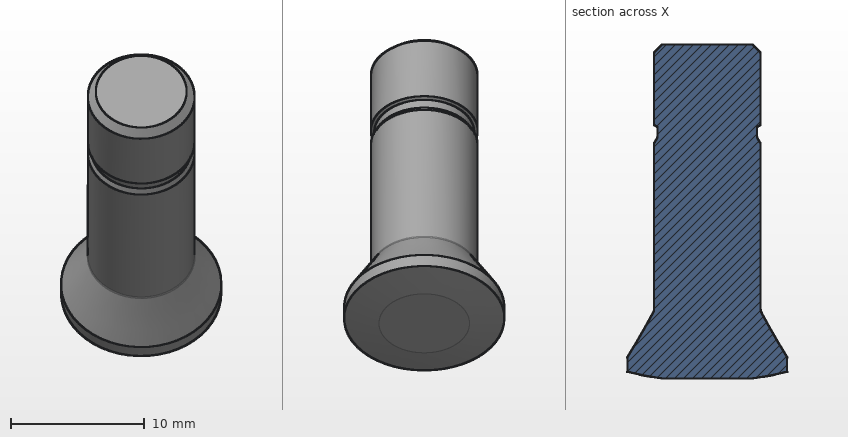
import cadquery as cq
import math

total_length = 25.0
shank_radius = 4.0
end_chamfer = 0.6

head_radius = 6.0
dome_height = 0.5
dome_radius = 25.0
rim_top_z = 1.6
head_half_angle = math.radians(30)
neck_fillet = 0.3

groove_radius = 3.75
tip_to_groove = 6.05
groove_length = 1.35
groove_flank_angle = math.radians(30)

neck_z = rim_top_z + (head_radius - shank_radius) / math.tan(head_half_angle)
groove_depth = shank_radius - groove_radius
upper_flank_height = groove_depth * math.tan(groove_flank_angle)
lower_flank_height = groove_depth / math.tan(groove_flank_angle)
groove_top_z = total_length - tip_to_groove
groove_bottom_z = groove_top_z - groove_length

sphere_centre_z = dome_height + math.sqrt(dome_radius**2 - head_radius**2)
flat_radius = math.sqrt(dome_radius**2 - sphere_centre_z**2)
dome_mid_x = (flat_radius + head_radius) / 2
dome_mid_z = sphere_centre_z - math.sqrt(dome_radius**2 - dome_mid_x**2)


def make_body():
    """Revolve the head, shank and chamfered tip about Z."""
    profile = (
        cq.Workplane("XZ")
        .moveTo(0, 0)
        .lineTo(flat_radius, 0)
        .threePointArc((dome_mid_x, dome_mid_z), (head_radius, dome_height))
        .lineTo(head_radius, rim_top_z)
        .lineTo(shank_radius, neck_z)
        .lineTo(shank_radius, total_length - end_chamfer)
        .lineTo(shank_radius - end_chamfer, total_length)
        .lineTo(0, total_length)
        .close()
    )
    return profile.revolve(360, (0, 0, 0), (0, 1, 0))


def round_neck(body):
    """Round the inside corner where the cone of the head meets the shank."""
    margin = 0.1
    neck_edge = cq.selectors.BoxSelector(
        (-margin, -margin, neck_z - margin), (margin, margin, neck_z + margin)
    )
    return body.edges(neck_edge).fillet(neck_fillet)


def make_groove():
    """Ring to remove from the shank, with a blunt upper and a steep lower flank."""
    profile = (
        cq.Workplane("XZ")
        .moveTo(shank_radius, groove_top_z)
        .lineTo(groove_radius, groove_top_z - upper_flank_height)
        .lineTo(groove_radius, groove_bottom_z + lower_flank_height)
        .lineTo(shank_radius, groove_bottom_z)
        .close()
    )
    return profile.revolve(360, (0, 0, 0), (0, 1, 0))


result = round_neck(make_body()).cut(make_groove())